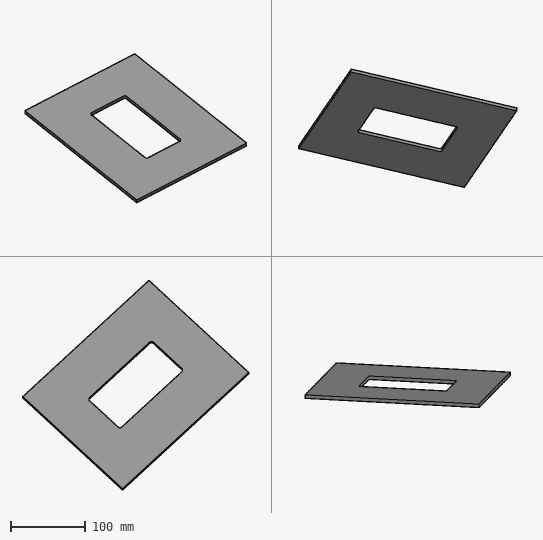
import cadquery as cq

plate_length = 240.0
plate_width = 190.0
plate_thickness = 5.0

window_length = 121.0
window_width = 61.0
window_corner_radius = 3.0


def make_plate():
    """Flat rectangular plate centred on the origin."""
    return cq.Workplane("XY").box(plate_length, plate_width, plate_thickness)


def make_window():
    """Rounded rectangular block that fills the window through the plate."""
    block = cq.Workplane("XY").box(window_length, window_width, plate_thickness)
    return block.edges("|Z").fillet(window_corner_radius)


result = make_plate().cut(make_window())